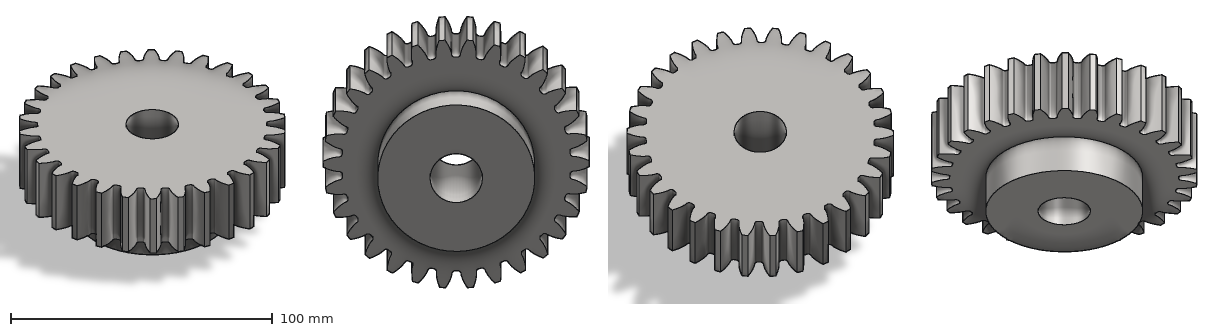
import cadquery as cq
import math

outer_diameter = 101.9
tooth_count = 30
pressure_angle = math.radians(20)
dedendum_factor = 1.25
root_fillet = 1.2
flank_steps = 8

module = outer_diameter / (tooth_count + 2)
tip_radius = outer_diameter / 2
pitch_radius = module * tooth_count / 2
base_radius = pitch_radius * math.cos(pressure_angle)
root_radius = pitch_radius - dedendum_factor * module
tooth_pitch = 2 * math.pi / tooth_count

total_height = 40.0
face_width = 25.0
hub_length = total_height - face_width
hub_diameter = 60.0
bore_diameter = 20.0


def polar(radius, angle):
    return (radius * math.cos(angle), radius * math.sin(angle))


def involute(angle):
    return math.tan(angle) - angle


def half_tooth_angle(radius):
    """Angle from a tooth's centre line to its involute flank at the given radius."""
    local_pressure_angle = math.acos(base_radius / radius)
    return tooth_pitch / 4 + involute(pressure_angle) - involute(local_pressure_angle)


def flank_points():
    """Involute points from the base circle to the tip, for a tooth centred on +X, on its -Y side."""
    radial_step = (tip_radius - base_radius) / flank_steps
    radii = [base_radius + step * radial_step for step in range(flank_steps + 1)]
    return [polar(radius, -half_tooth_angle(radius)) for radius in radii]


def make_tooth():
    """Wedge with one tooth on +X, its involute flanks running into the root circle through fillets."""
    lower_flank = flank_points()
    upper_flank = [(x, -y) for x, y in reversed(lower_flank)]
    root_half_angle = half_tooth_angle(base_radius)
    gap_half_angle = tooth_pitch / 2
    lower_mid_angle = -(gap_half_angle + root_half_angle) / 2
    tooth = (
        cq.Workplane("XY")
        .moveTo(0, 0)
        .lineTo(*polar(root_radius, -gap_half_angle))
        .threePointArc(polar(root_radius, lower_mid_angle), polar(root_radius, -root_half_angle))
        .lineTo(*lower_flank[0])
        .spline(lower_flank[1:], includeCurrent=True)
        .threePointArc((tip_radius, 0), upper_flank[0])
        .spline(upper_flank[1:], includeCurrent=True)
        .lineTo(*polar(root_radius, root_half_angle))
        .threePointArc(polar(root_radius, -lower_mid_angle), polar(root_radius, gap_half_angle))
        .close()
        .extrude(face_width)
    )
    corner_x, corner_y = polar(root_radius, root_half_angle)
    for side in (-1, 1):
        corner = (corner_x, side * corner_y, face_width / 2)
        tooth = tooth.edges(cq.NearestToPointSelector(corner)).fillet(root_fillet)
    return tooth.val()


def make_gear():
    tooth = make_tooth()
    degrees_per_tooth = math.degrees(tooth_pitch)
    wedges = [tooth.rotate((0, 0, 0), (0, 0, 1), i * degrees_per_tooth) for i in range(tooth_count)]
    return cq.Workplane("XY").newObject([wedges[0].fuse(*wedges[1:])])


hub = cq.Workplane("XY").circle(hub_diameter / 2).extrude(-hub_length)
bore = (
    cq.Workplane("XY")
    .workplane(offset=-hub_length)
    .circle(bore_diameter / 2)
    .extrude(hub_length + face_width)
)
result = make_gear().union(hub).cut(bore).clean().solids()